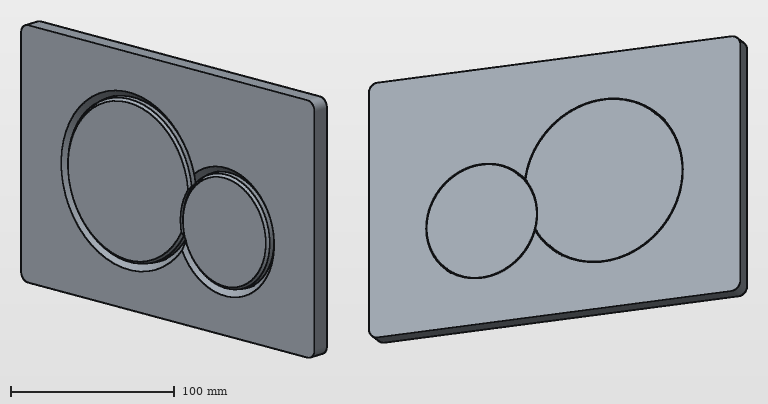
import cadquery as cq

plate_width = 245.0
plate_height = 164.2
total_depth = 12.0
button_rise = 0.7
corner_radius = 6.0
plate_depth = total_depth - button_rise

large_center = (-32.4, 0.0)
large_radius = 52.0
small_center = (48.0, -16.0)
small_radius = 36.3

gap = 0.5
bevel_width = 4.2
bevel_depth = 4.2
chamfer_width = 1.7
chamfer_depth = chamfer_width

back_y = total_depth / 2
plate_front_y = back_y - plate_depth
button_front_y = -total_depth / 2


def flared_disc(center, radius, front_y, flare_width, flare_depth):
    """Disc along Y whose front portion widens (or narrows) by flare_width."""
    x, z = center
    shoulder_y = front_y + flare_depth
    front_radius = radius + flare_width
    profile = (
        cq.Workplane("XY")
        .moveTo(0, back_y)
        .lineTo(radius, back_y)
        .lineTo(radius, shoulder_y)
        .lineTo(front_radius, front_y)
        .lineTo(0, front_y)
        .close()
    )
    return profile.revolve(360, (0, 0, 0), (0, 1, 0)).translate((x, 0, z))


def make_opening(center, button_radius):
    """Through hole with a bevelled mouth, one gap larger than its button."""
    return flared_disc(center, button_radius + gap, plate_front_y, bevel_width, bevel_depth)


def make_button(center, radius):
    """Round button with a chamfered front rim."""
    return flared_disc(center, radius, button_front_y, -chamfer_width, chamfer_depth)


def make_plate():
    blank = (
        cq.Workplane("XY")
        .box(plate_width, plate_depth, plate_height)
        .edges("|Y")
        .fillet(corner_radius)
        .translate((0, button_rise / 2, 0))
    )
    large_opening = make_opening(large_center, large_radius)
    small_opening = make_opening(small_center, small_radius)
    return blank.cut(large_opening).cut(small_opening)


def make_large_button():
    """Large button with a straight-walled bite that clears the small button."""
    bite = flared_disc(small_center, small_radius + gap, button_front_y, 0, chamfer_depth)
    return make_button(large_center, large_radius).cut(bite)


plate = make_plate()
large_button = make_large_button()
small_button = make_button(small_center, small_radius)

result = cq.Compound.makeCompound([plate.val(), large_button.val(), small_button.val()])